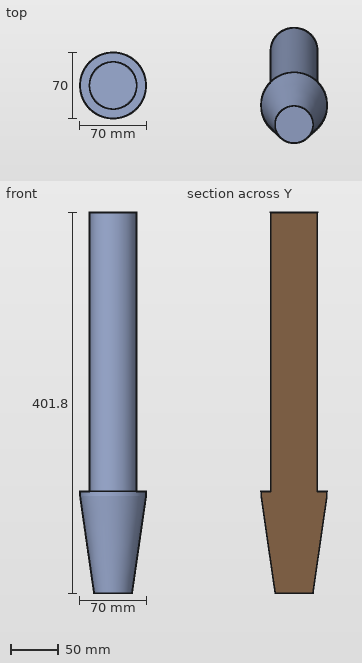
import cadquery as cq

total_length = 401.8
shaft_diameter = 50.0
collar_diameter = 70.0
tip_diameter = 40.0
collar_thickness = 5.0
head_length = 107.5

cone_length = head_length - collar_thickness
shaft_length = total_length - head_length

cone = (
    cq.Workplane("XY")
    .circle(tip_diameter / 2)
    .workplane(offset=cone_length)
    .circle(collar_diameter / 2)
    .loft(ruled=True)
)

collar = cq.Workplane("XY").workplane(offset=cone_length).circle(collar_diameter / 2).extrude(collar_thickness)

shaft = cq.Workplane("XY").workplane(offset=head_length).circle(shaft_diameter / 2).extrude(shaft_length)

result = cone.union(collar).union(shaft)